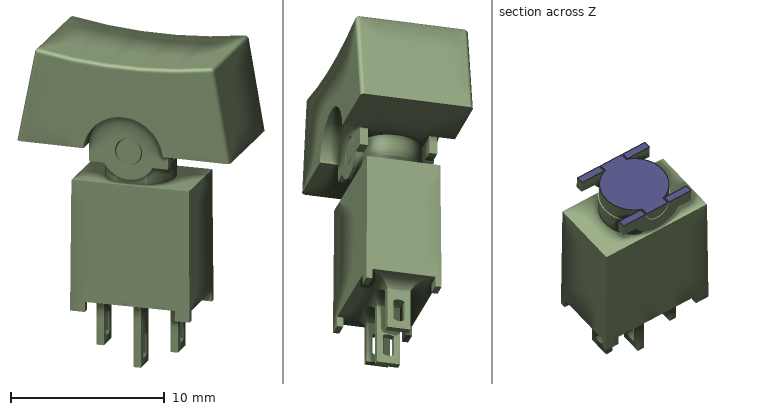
import cadquery as cq
import math


rocker_length = 14.6
rocker_width = 7.62
rocker_rim_z = 0.325
rocker_corner_z = 6.772
rocker_dip_z = 6.215
rocker_side_slope = 10.5
rocker_tilt = 0.6
rocker_edge_radius = 0.28

ear_arch_radius = 2.75
ear_cheek_x = 2.71
ear_tip_radius = 1.9
ear_shoulder_z = -0.92
ear_span = 5.22
pin_diameter = 1.7
pin_hole_diameter = 1.85

boss_diameter = 4.68
boss_neck_diameter = 4.55
boss_flat_width = 4.14
boss_height = 1.3

body_top_z = -2.35
body_height = 8.95
body_bottom_z = body_top_z - body_height
body_top_length = 8.04
body_top_width = 4.94
body_bottom_length = 8.18
body_bottom_width = 5.08
body_offset_x = 0.06
foot_height = 0.69
foot_gap_x = 6.16
foot_gap_y = 4.24
floor_z = body_bottom_z + foot_height

terminal_pitch = 2.54
terminal_thickness = 0.5
terminal_width = 1.58
outer_terminal_length = 2.75
centre_terminal_length = 4.04
slot_width = 0.76
slot_length = 1.56
slot_end_rise = 0.12
slot_tip_margin = 0.53

potting_depth = 0.61
saddle_depth = 0.16
flare_reach = 0.8
flare_mid_reach = 0.3
flare_mid_depth = 0.22
saddle_mid_reach = 0.4
saddle_mid_depth = 0.29


def extrude_along_y(profile, width):
    """Extrude an XZ profile by width, centred on Y = 0."""
    return profile.extrude(width / 2, both=True)


def ear_profile():
    """Arch on top, straight cheeks down to the shoulders."""
    springing_z = math.sqrt(ear_arch_radius**2 - ear_cheek_x**2)
    return (
        cq.Workplane("XZ")
        .moveTo(-ear_cheek_x, ear_shoulder_z)
        .lineTo(-ear_cheek_x, springing_z)
        .threePointArc((0, ear_arch_radius), (ear_cheek_x, springing_z))
        .lineTo(ear_cheek_x, ear_shoulder_z)
        .close()
    )


def make_rocker():
    rim_x = rocker_length / 2
    slope_run = (rocker_corner_z - rocker_rim_z) * math.tan(math.radians(rocker_side_slope))
    corner_x = rim_x - slope_run
    profile = (
        cq.Workplane("XZ")
        .moveTo(-rim_x, rocker_rim_z)
        .lineTo(-corner_x, rocker_corner_z)
        .threePointArc((0, rocker_dip_z), (corner_x, rocker_corner_z))
        .lineTo(rim_x, rocker_rim_z)
        .close()
    )
    cap = extrude_along_y(profile, rocker_width)
    cap = cap.faces("not(<Z)").edges("not(<Z)").fillet(rocker_edge_radius)

    notch = extrude_along_y(ear_profile(), rocker_width)
    ears = extrude_along_y(ear_profile(), ear_span)
    ear_tips = extrude_along_y(cq.Workplane("XZ").circle(ear_tip_radius), ear_span)
    slot_between_ears = cq.Workplane("XY").box(
        2 * ear_arch_radius, boss_flat_width, ear_tip_radius + rocker_rim_z, centered=(True, True, False)
    ).translate((0, 0, -ear_tip_radius))
    pin_hole = extrude_along_y(cq.Workplane("XZ").circle(pin_hole_diameter / 2), ear_span)
    rocker = cap.cut(notch).union(ears).union(ear_tips).cut(slot_between_ears).cut(pin_hole)
    return rocker.rotate((0, 0, 0), (0, 1, 0), rocker_tilt)


def flatted_cylinder(diameter, base_z, height):
    flats = cq.Workplane("XY").box(diameter, boss_flat_width, height, centered=(True, True, False))
    return (
        cq.Workplane("XY").circle(diameter / 2).extrude(height).intersect(flats)
        .translate((0, 0, base_z))
    )


def make_boss():
    neck_base_z = body_top_z + boss_height
    neck_height = rocker_rim_z + rocker_edge_radius - neck_base_z
    boss = flatted_cylinder(boss_diameter, body_top_z, boss_height)
    neck = flatted_cylinder(boss_neck_diameter, neck_base_z, neck_height)
    pin = extrude_along_y(cq.Workplane("XZ").circle(pin_diameter / 2), ear_span)
    return boss.union(neck).union(pin)


def make_body():
    body = (
        cq.Workplane("XY").workplane(offset=body_bottom_z)
        .rect(body_bottom_length, body_bottom_width)
        .workplane(offset=body_height)
        .rect(body_top_length, body_top_width)
        .loft(ruled=True)
    )
    channel_centre_z = floor_z - foot_height / 2
    for length, width in ((foot_gap_x, body_bottom_width), (body_bottom_length, foot_gap_y)):
        channel = cq.Workplane("XY").box(length, width, foot_height)
        body = body.cut(channel.translate((0, 0, channel_centre_z)))
    return body.translate((body_offset_x, 0, 0))


def make_potting():
    tip_z = floor_z - potting_depth
    flare_mid_z = floor_z - flare_mid_depth
    saddle_z = floor_z - saddle_depth
    saddle_mid_z = floor_z - saddle_mid_depth

    half_thickness = terminal_thickness / 2
    end_face_x = terminal_pitch + half_thickness
    lengthwise = (
        cq.Workplane("XZ")
        .moveTo(-end_face_x - flare_reach, floor_z)
        .threePointArc((-end_face_x - flare_mid_reach, flare_mid_z), (-end_face_x, tip_z))
    )
    for left_x in (-terminal_pitch, 0):
        right_x = left_x + terminal_pitch
        middle_x = left_x + terminal_pitch / 2
        left_face_x = left_x + half_thickness
        right_face_x = right_x - half_thickness
        lengthwise = (
            lengthwise.lineTo(left_face_x, tip_z)
            .threePointArc((left_face_x + saddle_mid_reach, saddle_mid_z), (middle_x, saddle_z))
            .threePointArc((right_face_x - saddle_mid_reach, saddle_mid_z), (right_face_x, tip_z))
        )
    lengthwise = (
        lengthwise.lineTo(end_face_x, tip_z)
        .threePointArc((end_face_x + flare_mid_reach, flare_mid_z), (end_face_x + flare_reach, floor_z))
        .close()
    )

    side_y = terminal_width / 2
    crosswise = (
        cq.Workplane("YZ")
        .moveTo(-side_y - flare_reach, floor_z)
        .threePointArc((-side_y - flare_mid_reach, flare_mid_z), (-side_y, tip_z))
        .lineTo(side_y, tip_z)
        .threePointArc((side_y + flare_mid_reach, flare_mid_z), (side_y + flare_reach, floor_z))
        .close()
    )
    return extrude_along_y(lengthwise, foot_gap_y).intersect(
        crosswise.extrude(body_bottom_length / 2, both=True)
    )


def make_terminal(x, length):
    """Flat terminal blade with a bow-ended slot through its thickness."""
    tip_z = body_bottom_z - length
    blade = cq.Workplane("XY").box(
        terminal_thickness, terminal_width, floor_z - tip_z, centered=(True, True, False)
    ).translate((0, 0, tip_z))
    slot_bottom_z = tip_z + slot_tip_margin
    slot_top_z = slot_bottom_z + slot_length
    slot_y = slot_width / 2
    slot = (
        cq.Workplane("YZ")
        .moveTo(-slot_y, slot_bottom_z + slot_end_rise)
        .threePointArc((0, slot_bottom_z), (slot_y, slot_bottom_z + slot_end_rise))
        .lineTo(slot_y, slot_top_z - slot_end_rise)
        .threePointArc((0, slot_top_z), (-slot_y, slot_top_z - slot_end_rise))
        .close()
        .extrude(terminal_thickness, both=True)
    )
    return blade.cut(slot).translate((x, 0, 0))


result = make_body().union(make_boss()).union(make_rocker()).union(make_potting())
for terminal_x, terminal_length in (
    (-terminal_pitch, outer_terminal_length),
    (0, centre_terminal_length),
    (terminal_pitch, outer_terminal_length),
):
    result = result.union(make_terminal(terminal_x, terminal_length))